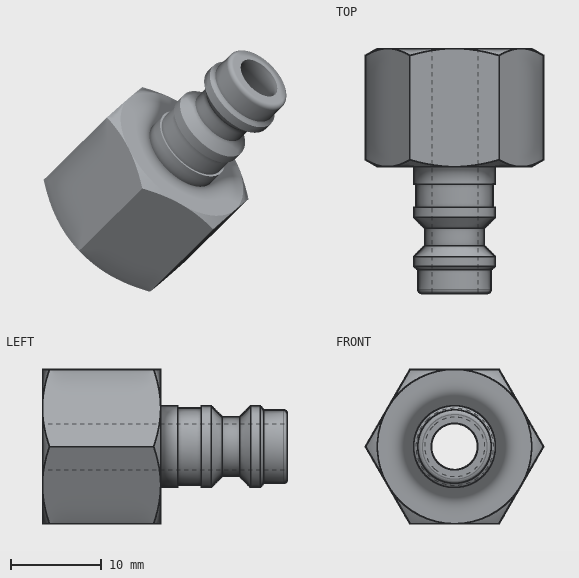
import cadquery as cq
import math

total_length = 27.0
hex_length = 13.01
across_flats = 17.0
hex_chamfer_angle = math.radians(30)
bore_diameter = 5.08

collar_diameter = 9.02
shank_diameter = 8.53
groove_diameter = 6.6
tip_diameter = 8.1
tip_fillet = 0.49

tip_length = 2.62
tip_taper_length = 0.4
front_collar_length = 1.03
groove_taper_length = (collar_diameter - groove_diameter) / 2
groove_length = 1.95
rear_collar_length = 1.1
shank_length = 2.55

across_corners = across_flats / math.cos(math.radians(30))
hex_start = total_length - hex_length


def revolve_about_y(points):
    """Turn a (radius, y) outline about the Y axis."""
    return cq.Workplane("XY").polyline(points).close().revolve(360, (0, 0, 0), (0, 1, 0))


def make_hexagon():
    """Hexagon with corners on X and both ends chamfered down to the flats."""
    prism = (
        cq.Workplane("XZ", origin=(0, total_length, 0))
        .polygon(6, across_corners)
        .extrude(hex_length)
    )
    flat_radius = across_flats / 2
    envelope_radius = across_corners
    chamfer_length = (envelope_radius - flat_radius) * math.tan(hex_chamfer_angle)
    envelope = revolve_about_y([
        (0, hex_start),
        (flat_radius, hex_start),
        (envelope_radius, hex_start + chamfer_length),
        (envelope_radius, total_length - chamfer_length),
        (flat_radius, total_length),
        (0, total_length),
    ])
    return prism.intersect(envelope)


def make_plug():
    """Stepped plug with two collars, a tapered locking groove and a rounded tip."""
    collar_radius = collar_diameter / 2
    shank_radius = shank_diameter / 2
    groove_radius = groove_diameter / 2
    tip_radius = tip_diameter / 2

    front_collar_start = tip_length + tip_taper_length
    front_collar_end = front_collar_start + front_collar_length
    groove_start = front_collar_end + groove_taper_length
    groove_end = groove_start + groove_length
    rear_collar_start = groove_end + groove_taper_length
    rear_collar_end = rear_collar_start + rear_collar_length
    shank_end = rear_collar_end + shank_length

    plug = revolve_about_y([
        (0, 0),
        (tip_radius, 0),
        (tip_radius, tip_length),
        (collar_radius, front_collar_start),
        (collar_radius, front_collar_end),
        (groove_radius, groove_start),
        (groove_radius, groove_end),
        (collar_radius, rear_collar_start),
        (collar_radius, rear_collar_end),
        (shank_radius, rear_collar_end),
        (shank_radius, shank_end),
        (collar_radius, shank_end),
        (collar_radius, hex_start),
        (0, hex_start),
    ])
    return plug.faces("<Y").edges().fillet(tip_fillet)


bore = cq.Workplane("XZ").circle(bore_diameter / 2).extrude(-total_length)

result = make_hexagon().union(make_plug()).cut(bore)